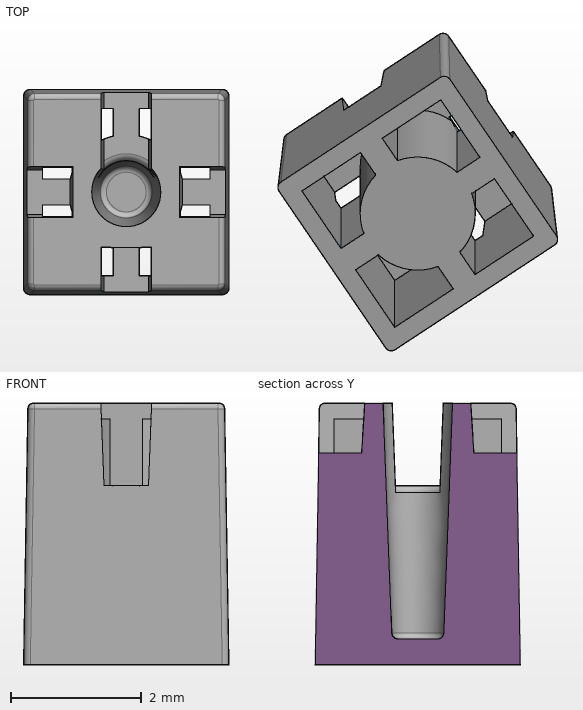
import cadquery as cq
import math

height = 4.0
base_side = 3.14
top_side = 3.01
corner_radius = 0.105
top_edge_radius = 0.09
roof_thickness = 0.24
cavity_side = 2.55

post_radius = 0.88
rib_width = 0.4

bore_top_radius = 0.53
bore_bottom_radius = 0.39
bore_depth = 3.6
bore_floor_radius = 0.09

slot_top_width = 0.775
slot_floor_width = 0.68
deep_slot_depth = 1.26
shallow_slot_depth = 0.76
y_slot_inner_end = 0.845
x_slot_inner_end = 0.81
x_slot_floor_end = 0.86
slot_length = base_side / 2

lip_radius = 0.105


def outer_body():
    taper = math.degrees(math.atan((base_side - top_side) / 2 / height))
    body = cq.Workplane("XY").rect(base_side, base_side).extrude(height, taper=taper)
    body = body.edges("not(#Z or |X or |Y)").fillet(corner_radius)
    return body.faces(">Z").edges().fillet(top_edge_radius)


def cavity():
    cavity_height = height - roof_thickness
    space = cq.Workplane("XY").rect(cavity_side, cavity_side).extrude(cavity_height)
    post = cq.Workplane("XY").circle(post_radius).extrude(cavity_height)
    x_rib = cq.Workplane("XY").rect(cavity_side, rib_width).extrude(cavity_height)
    y_rib = cq.Workplane("XY").rect(rib_width, cavity_side).extrude(cavity_height)
    return space.cut(post).cut(x_rib).cut(y_rib)


def slot(angle, depth, top_end, floor_end):
    """Slot with tapered sides, running outward from its inner end at the given angle."""
    floor_length = slot_length - floor_end
    top_length = slot_length - top_end
    cutter = (
        cq.Workplane("XY", origin=(0, 0, height - depth))
        .center(slot_length - floor_length / 2, 0)
        .rect(floor_length, slot_floor_width)
        .workplane(offset=depth)
        .center((floor_length - top_length) / 2, 0)
        .rect(top_length, slot_top_width)
        .loft(ruled=True)
    )
    return cutter.rotate((0, 0, 0), (0, 0, 1), angle)


def bore_radius_at(depth):
    return bore_top_radius - (bore_top_radius - bore_bottom_radius) * depth / bore_depth


def bore():
    cutter = (
        cq.Workplane("XZ")
        .moveTo(0, height)
        .lineTo(bore_top_radius, height)
        .lineTo(bore_bottom_radius, height - bore_depth)
        .lineTo(0, height - bore_depth)
        .close()
        .revolve(360, (0, 0), (0, 1))
    )
    return cutter.faces("<Z").edges().fillet(bore_floor_radius)


def slot_lip():
    """Quarter-round bore edge, limited to the floor of the slot that opens into the bore."""
    floor = height - deep_slot_depth
    inner = bore_radius_at(deep_slot_depth)
    outer = inner + lip_radius
    bend = lip_radius * math.sqrt(0.5)
    ring = (
        cq.Workplane("XZ")
        .moveTo(0, floor)
        .lineTo(outer, floor)
        .threePointArc((outer - bend, floor - lip_radius + bend), (inner, floor - lip_radius))
        .lineTo(0, floor - lip_radius)
        .close()
        .revolve(360, (0, 0), (0, 1))
    )
    limit = cq.Workplane("XY", origin=(0, 0, floor - lip_radius)).box(
        slot_floor_width, slot_length, lip_radius, centered=(True, False, False)
    )
    return ring.intersect(limit)


result = outer_body().cut(cavity())
for angle in (0, 180):
    result = result.cut(slot(angle, shallow_slot_depth, x_slot_inner_end, x_slot_floor_end))
result = result.cut(slot(270, deep_slot_depth, y_slot_inner_end, y_slot_inner_end))
result = result.cut(slot(90, deep_slot_depth, 0, 0))
result = result.cut(bore()).cut(slot_lip())